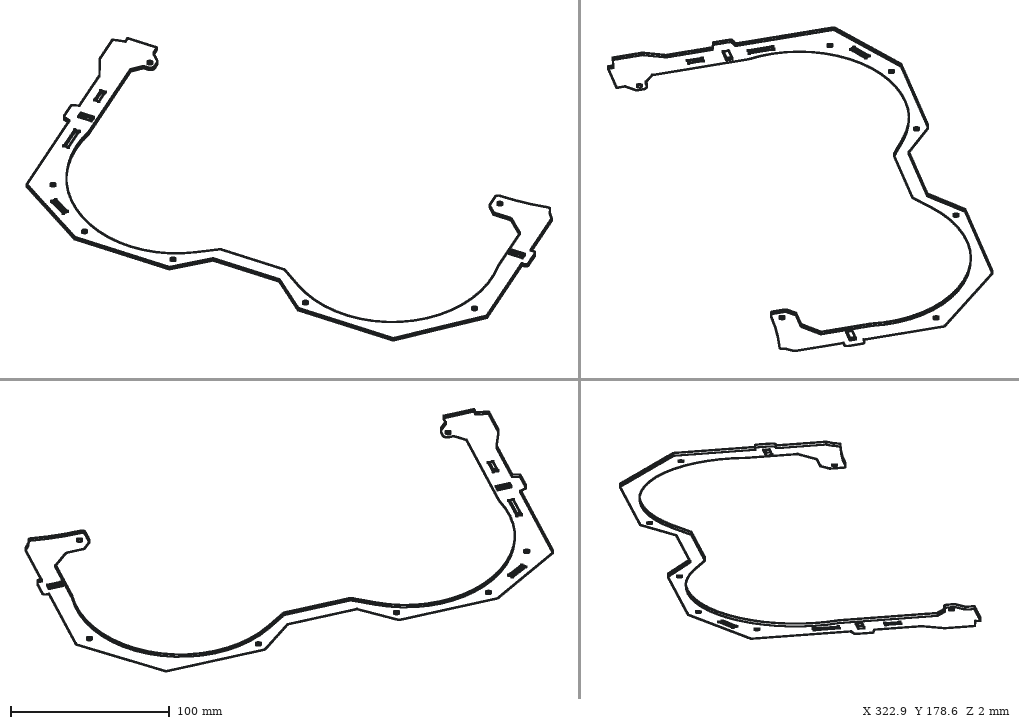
import cadquery as cq
import math

overall_x = 322.86
overall_y = 178.56
thickness = 2.0

leg_left_x = 6.2
leg_right_x = 319.1
arm_left_inner_x = 21.6
arm_right_inner_x = 306.6

mid_x = 163.8
bowl_radius = 69.0
bowl_offset = 74.8
bowl_center_y = 75.85
bowl_left_x = mid_x - bowl_offset
bowl_right_x = mid_x + bowl_offset

bridge_half_top = 22.2
bridge_half_bottom = 23.0
bridge_top_y = 28.3
bridge_bottom_y = 18.8
foot_inner_offset = 44.6

foot_left_x = 53.7
slope_left_y = 31.0
foot_right_x = 274.2
slope_right_y = 43.3

tab_center_y = 102.5
tab_left_half_root = 7.5
tab_left_half_tip = 5.9
tab_left_tip_x = 1.4
tab_right_half = 6.6
tab_left_round = 1.0
tab_right_round = 2.0

head_root_y = 140.3
head_side_y = 154.0
shoulder_y = 173.4
shoulder_rise = 1.8
crown_left_x = 8.0
crown_right_x = 28.4
crown_right_y = 173.0
lug_right_x = 34.2
lug_top_y = 167.2
lug_bottom_y = 159.7
lug_neck_x = 27.8
lug_round = 3.0

hook_left_x = 278.5
hook_top_y = 146.0
hook_bottom_y = 130.5
hook_bottom_chamfer = 5.2
hook_top_level = 2.4
hook_top_round = 2.1
hook_neck_x = 295.8
hook_arm_y = 120.4
peak_x = 314.2
peak_y = 149.4
peak_round = 1.6
hook_root_x = 315.6
hook_root_y = 145.5
hook_side_y = 141.0

neck_round = 3.0

hole_diameter = 3.2
hole_centers = [
    (30.1, 164.2),
    (21.3, 37.7),
    (57.2, 7.3),
    (118.3, 7.4),
    (210.5, 6.5),
    (309.3, 46.1),
    (283.8, 139.6),
]

tab_slot_length = 9.2
tab_slot_width = 4.0
tab_slot_xs = (14.4, 312.9)
relieved_width = 3.0
relief_diameter = 1.0
relieved_slots = [
    (14.3, 123.4, 9.5, 90.0),
    (14.3, 80.7, 16.0, 90.0),
    (33.3, 21.4, 13.0, -31.5),
]


def side_y(x, center_x):
    """Upper Y where a bowl meets an arm's straight inner edge."""
    return bowl_center_y + math.sqrt(bowl_radius**2 - (x - center_x) ** 2)


def bridge_tangent_offset():
    """X and Y offsets from a bowl center to the tangent point of the line to the bridge top."""
    run = bowl_offset - bridge_half_top
    rise = bridge_top_y - bowl_center_y
    angle = math.atan2(rise, run) - math.acos(bowl_radius / math.hypot(run, rise))
    return bowl_radius * math.cos(angle), bowl_radius * math.sin(angle)


def hook_top_middle():
    """Middle of the hollow top of the right head, an arc that starts level at its left end."""
    start_x = hook_left_x + hook_top_level
    run = peak_x - start_x
    rise = peak_y - hook_top_y
    radius = (run**2 + rise**2) / (2 * rise)
    half_angle = math.asin(run / radius) / 2
    return start_x + radius * math.sin(half_angle), hook_top_y + radius * (1 - math.cos(half_angle))


def frame():
    tangent_dx, tangent_dy = bridge_tangent_offset()
    tangent_y = bowl_center_y + tangent_dy
    bowl_bottom_y = bowl_center_y - bowl_radius
    lug_drop = lug_neck_x - arm_left_inner_x
    outline = (
        cq.Workplane("XY")
        .moveTo(foot_left_x, 0)
        .lineTo(mid_x - foot_inner_offset, 0)
        .lineTo(mid_x - bridge_half_bottom, bridge_bottom_y)
        .lineTo(mid_x + bridge_half_bottom, bridge_bottom_y)
        .lineTo(mid_x + foot_inner_offset, 0)
        .lineTo(foot_right_x, 0)
        .lineTo(leg_right_x, slope_right_y)
        .lineTo(leg_right_x, tab_center_y - tab_right_half)
        .lineTo(overall_x, tab_center_y - tab_right_half)
        .lineTo(overall_x, tab_center_y + tab_right_half)
        .lineTo(leg_right_x, tab_center_y + tab_right_half)
        .lineTo(leg_right_x, hook_side_y)
        .lineTo(hook_root_x, hook_root_y)
        .lineTo(peak_x, peak_y)
        .threePointArc(hook_top_middle(), (hook_left_x + hook_top_level, hook_top_y))
        .lineTo(hook_left_x, hook_top_y)
        .lineTo(hook_left_x, hook_bottom_y + hook_bottom_chamfer)
        .lineTo(hook_left_x + hook_bottom_chamfer, hook_bottom_y)
        .lineTo(hook_neck_x, hook_bottom_y)
        .lineTo(arm_right_inner_x, hook_arm_y)
        .lineTo(arm_right_inner_x, side_y(arm_right_inner_x, bowl_right_x))
        .threePointArc((bowl_right_x, bowl_bottom_y), (bowl_right_x - tangent_dx, tangent_y))
        .lineTo(mid_x + bridge_half_top, bridge_top_y)
        .lineTo(mid_x - bridge_half_top, bridge_top_y)
        .lineTo(bowl_left_x + tangent_dx, tangent_y)
        .threePointArc(
            (bowl_left_x, bowl_bottom_y), (arm_left_inner_x, side_y(arm_left_inner_x, bowl_left_x))
        )
        .lineTo(arm_left_inner_x, lug_bottom_y - lug_drop)
        .lineTo(lug_neck_x, lug_bottom_y)
        .lineTo(lug_right_x, lug_bottom_y)
        .lineTo(lug_right_x, lug_top_y)
        .lineTo(crown_right_x, crown_right_y)
        .lineTo(crown_right_x, overall_y)
        .lineTo(crown_left_x, overall_y)
        .lineTo(crown_left_x, shoulder_y + shoulder_rise)
        .lineTo(0, shoulder_y)
        .lineTo(0, head_side_y)
        .lineTo(leg_left_x, head_root_y)
        .lineTo(leg_left_x, tab_center_y + tab_left_half_root)
        .lineTo(tab_left_tip_x, tab_center_y + tab_left_half_tip)
        .lineTo(tab_left_tip_x, tab_center_y - tab_left_half_tip)
        .lineTo(leg_left_x, tab_center_y - tab_left_half_root)
        .lineTo(leg_left_x, slope_left_y)
        .close()
    )
    return outline.extrude(thickness)


def rounded_corners(plate):
    """Round the corners of the tabs and heads, each given by its place and radius."""
    corners = [
        (overall_x, tab_center_y - tab_right_half, tab_right_round),
        (overall_x, tab_center_y + tab_right_half, tab_right_round),
        (tab_left_tip_x, tab_center_y - tab_left_half_tip, tab_left_round),
        (tab_left_tip_x, tab_center_y + tab_left_half_tip, tab_left_round),
        (lug_right_x, lug_bottom_y, lug_round),
        (lug_right_x, lug_top_y, lug_round),
        (lug_neck_x, lug_bottom_y, neck_round),
        (hook_neck_x, hook_bottom_y, neck_round),
        (hook_left_x, hook_top_y, hook_top_round),
        (peak_x, peak_y, peak_round),
    ]
    for x, y, radius in corners:
        corner = cq.selectors.NearestToPointSelector((x, y, thickness / 2))
        plate = plate.edges("|Z").edges(corner).fillet(radius)
    return plate


def round_holes():
    return cq.Workplane("XY").pushPoints(hole_centers).circle(hole_diameter / 2).extrude(thickness)


def tab_slots():
    centers = [(x, tab_center_y) for x in tab_slot_xs]
    return cq.Workplane("XY").pushPoints(centers).rect(tab_slot_length, tab_slot_width).extrude(thickness)


def relieved_slot(center_x, center_y, length, direction):
    """A rectangular slot with a small round relief at each corner."""
    slot = cq.Workplane("XY").rect(length, relieved_width).extrude(thickness)
    reliefs = (
        cq.Workplane("XY")
        .rect(length, relieved_width, forConstruction=True)
        .vertices()
        .circle(relief_diameter / 2)
        .extrude(thickness)
    )
    turned = slot.union(reliefs).rotate((0, 0, 0), (0, 0, 1), direction)
    return turned.translate((center_x, center_y, 0))


result = rounded_corners(frame()).cut(round_holes()).cut(tab_slots())
for slot_values in relieved_slots:
    result = result.cut(relieved_slot(*slot_values))